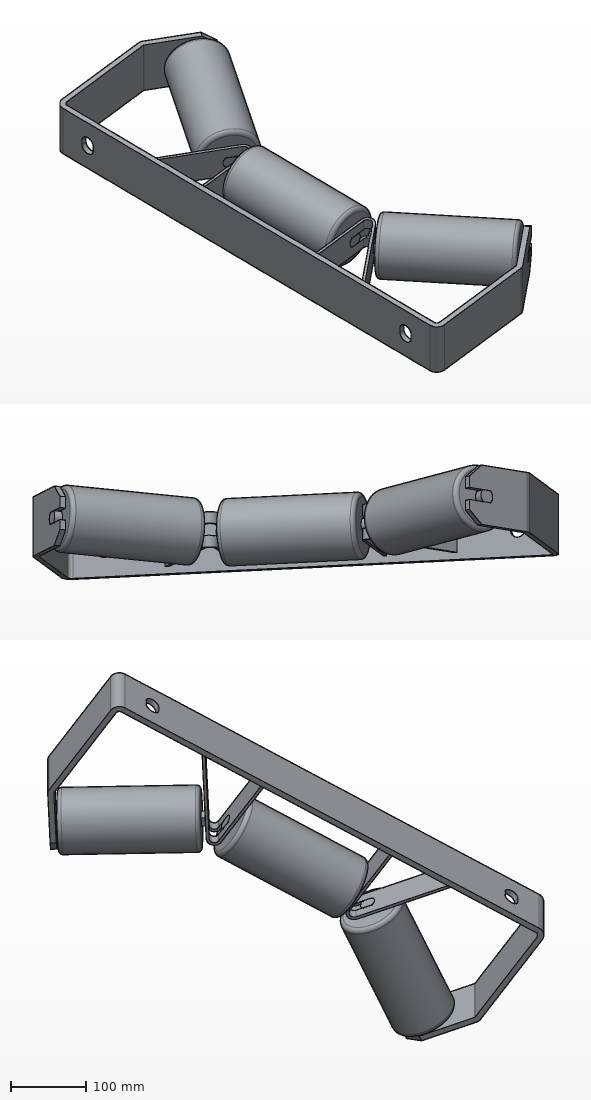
import cadquery as cq
import math


frame_width = 680.0
strip_height = 80.0
frame_thickness = 8.0
corner_radius = 13.5
flange_bend_y = 168.5
flange_bend_radius = 10.0
flange_length = 104.0
flange_chamfer_length = 22.0
flange_chamfer_height = 18.0
mount_slot_x = 283.0
mount_slot_width = 20.0
mount_slot_height = 28.0

trough_angle = 35.0
bracket_thickness = 4.0
bracket_height = 47.5
bracket_x = 99.0
bracket_foot_span = 100.5
bracket_bend_radius = 11.0

roller_diameter = 90.0
roller_length = 190.5
roller_edge_radius = 6.0
shaft_diameter = 20.5
shaft_flat_width = 16.0
middle_roller_y = 100.5
side_roller_x = 211.0
side_roller_y = 168.0
bracket_shaft_z = 33.0
forward_tilt = 1.6

shaft_slot_reach = 54.5
bend_cut_depth = 13.5

sine = math.sin(math.radians(trough_angle))
cosine = math.cos(math.radians(trough_angle))
tilt_sine = math.sin(math.radians(forward_tilt))
tilt_cosine = math.cos(math.radians(forward_tilt))

left_edge = -frame_width / 2
bracket_foot_x = -bracket_x - bracket_foot_span
flange_distance = (left_edge + side_roller_x) * -cosine + (flange_bend_y - side_roller_y) * sine
leg_distance = (bracket_foot_x + side_roller_x) * cosine - (frame_thickness - side_roller_y) * sine
side_shaft_to_flange = flange_distance / tilt_cosine
side_shaft_to_bracket = (leg_distance + bracket_thickness) / tilt_cosine
side_roller_z = bracket_shaft_z + side_shaft_to_bracket * tilt_sine
middle_shaft_reach = bracket_x + bracket_thickness


def fillet_upright_edge(body, corner, radius):
    """Round the edge parallel to Z nearest to the (x, y) corner."""
    nearest = cq.selectors.NearestToPointSelector((*corner, strip_height / 2))
    return body.edges("|Z").edges(nearest).fillet(radius)


def place_left_roller(body):
    """Move a body built around the origin along X onto the left side roller's axis."""
    tilted = body.rotate((0, 0, 0), (0, 1, 0), forward_tilt)
    turned = tilted.rotate((0, 0, 0), (0, 0, 1), -trough_angle)
    return turned.translate((-side_roller_x, side_roller_y, side_roller_z))


def place_middle_roller(body):
    return body.translate((0, middle_roller_y, bracket_shaft_z))


def flat_sided_shaft(start, end):
    """Shaft along X with a flat on its +Z and -Z sides."""
    length = end - start
    rod = cq.Workplane("YZ").workplane(offset=start).circle(shaft_diameter / 2).extrude(length)
    flats = cq.Workplane("YZ").workplane(offset=start).rect(shaft_diameter, shaft_flat_width).extrude(length)
    return rod.intersect(flats)


def shaft_slot(start, end):
    """Cutter for a slot that is open toward +Y and fits the shaft at its bottom."""
    channel = cq.Workplane("XY").box(
        end - start, shaft_slot_reach, shaft_flat_width, centered=(False, False, True)
    )
    return flat_sided_shaft(start, end).union(channel.translate((start, 0, 0)))


def make_roller(left_reach, right_reach):
    shell = cq.Workplane("YZ").circle(roller_diameter / 2).extrude(roller_length)
    shell = shell.translate((-roller_length / 2, 0, 0))
    shell = shell.faces("<X or >X").edges().fillet(roller_edge_radius)
    return shell.union(flat_sided_shaft(-left_reach, right_reach))


def make_frame():
    bend_inset = frame_thickness * math.tan(math.radians(trough_angle / 2))
    outer_corner = (left_edge, 0)
    outer_bend = (left_edge, flange_bend_y)
    outer_tip = (left_edge + flange_length * sine, flange_bend_y + flange_length * cosine)
    inner_tip = (outer_tip[0] + frame_thickness * cosine, outer_tip[1] - frame_thickness * sine)
    inner_bend = (left_edge + frame_thickness, flange_bend_y - bend_inset)
    inner_corner = (left_edge + frame_thickness, frame_thickness)
    half = (
        cq.Workplane("XY")
        .polyline([
            (0, 0), outer_corner, outer_bend, outer_tip,
            inner_tip, inner_bend, inner_corner, (0, frame_thickness),
        ])
        .close()
        .extrude(strip_height)
    )
    half = fillet_upright_edge(half, outer_corner, corner_radius)
    half = fillet_upright_edge(half, inner_corner, corner_radius - frame_thickness)
    half = fillet_upright_edge(half, outer_bend, flange_bend_radius)
    half = fillet_upright_edge(half, inner_bend, flange_bend_radius - frame_thickness)

    flange_face = cq.Plane(
        origin=(*outer_tip, 0), xDir=(-sine, -cosine, 0), normal=(-cosine, sine, 0)
    )
    for edge_z, inward in ((0, 1), (strip_height, -1)):
        bevel_z = edge_z + inward * flange_chamfer_height
        bevel = (
            cq.Workplane(flange_face)
            .polyline([(0, edge_z), (flange_chamfer_length, edge_z), (0, bevel_z)])
            .close()
            .extrude(-frame_thickness)
        )
        half = half.cut(bevel)

    flange_slot = shaft_slot(
        -side_shaft_to_flange - frame_thickness, -side_shaft_to_flange + 2 * frame_thickness
    )
    half = half.cut(place_left_roller(flange_slot))

    mount_slot = (
        cq.Workplane("XZ")
        .center(-mount_slot_x, strip_height / 2)
        .slot2D(mount_slot_height, mount_slot_width, 90)
        .extrude(-frame_thickness)
    )
    half = half.cut(mount_slot)
    return half.union(half.mirror("YZ"))


def make_left_bracket():
    half_apex_tangent = math.tan(math.radians(trough_angle / 2))
    outer_apex = (-bracket_x, frame_thickness + bracket_foot_span * cosine / sine)
    inner_apex = (
        outer_apex[0] - bracket_thickness,
        outer_apex[1] - bracket_thickness / half_apex_tangent,
    )
    bracket = (
        cq.Workplane("XY")
        .polyline([
            (bracket_foot_x, frame_thickness),
            outer_apex,
            (outer_apex[0], frame_thickness),
            (inner_apex[0], frame_thickness),
            inner_apex,
            (bracket_foot_x + bracket_thickness / cosine, frame_thickness),
        ])
        .close()
        .extrude(bracket_height)
        .translate((0, 0, bracket_shaft_z - bracket_height / 2))
    )
    bracket = fillet_upright_edge(bracket, outer_apex, bracket_bend_radius)
    bracket = fillet_upright_edge(bracket, inner_apex, bracket_bend_radius - bracket_thickness)

    side_face = side_shaft_to_bracket - bracket_thickness / tilt_cosine
    side_slot = shaft_slot(side_face - bracket_thickness, side_face + bend_cut_depth)
    upright_slot = shaft_slot(-bracket_x - bend_cut_depth, -bracket_x)
    return bracket.cut(place_left_roller(side_slot)).cut(place_middle_roller(upright_slot))


frame = make_frame()
left_bracket = make_left_bracket()
left_roller = place_left_roller(make_roller(side_shaft_to_flange, side_shaft_to_bracket))
middle_roller = place_middle_roller(make_roller(middle_shaft_reach, middle_shaft_reach))
brackets = [left_bracket, left_bracket.mirror("YZ")]
side_rollers = [left_roller, left_roller.mirror("YZ")]

result = cq.Compound.makeCompound([
    frame.val(),
    *[bracket.val() for bracket in brackets],
    *[roller.val() for roller in side_rollers],
    middle_roller.val(),
])